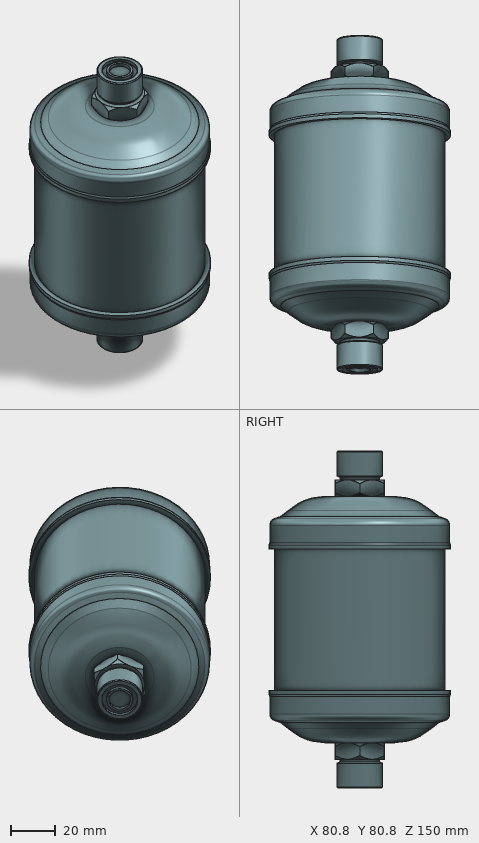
import cadquery as cq
import math

length = 150.0
half_length = length / 2

shell_radius = 38.1

rim_radius = 40.42
rim_bottom = 31.5
rim_height = 1.8
rim_bevel_height = 0.9
skirt_radius = 40.0
skirt_top = 42.0
shoulder_fillet = 3.2
shoulder_slope = math.radians(19)
dome_foot_radius = 35.2
dome_foot_height = 45.9
dome_top = 54.9
dome_flat_radius = 15.3
dome_arc_radius = 24.8
dome_slope = math.radians(42)

hex_flats = 22.0
hex_height = 7.4
hex_corner_radius = hex_flats / math.sqrt(3)
hex_top = dome_top + hex_height

spigot_radius = 10.2
spigot_bottom = 64.0
spigot_chamfer = 0.5
underside_height = 0.6
neck_radius = 8.8

groove_radius = 8.0
tube_radius = 5.8
bore_radius = 4.8
groove_depth = 1.6
bore_depth = 1.6


def revolve_outline(outline):
    """Turn a closed (radius, height) outline around the Z axis."""
    return outline.close().revolve(360, (0, 0, 0), (0, 1, 0))


def make_cap():
    """Upper end cap, solid from the rim up to the top of the dome."""
    rim_top = rim_bottom + rim_height
    skirt_bottom = rim_top + rim_bevel_height
    arc_centre_height = dome_top - dome_arc_radius

    def dome_point(angle):
        return (
            dome_flat_radius + dome_arc_radius * math.sin(angle),
            arc_centre_height + dome_arc_radius * math.cos(angle),
        )

    def fillet_point(angle):
        return (
            skirt_radius - shoulder_fillet + shoulder_fillet * math.sin(angle),
            skirt_top + shoulder_fillet * math.cos(angle),
        )

    fillet_middle = (shoulder_slope + math.pi / 2) / 2

    return revolve_outline(
        cq.Workplane("XZ")
        .moveTo(0, rim_bottom)
        .lineTo(rim_radius, rim_bottom)
        .lineTo(rim_radius, rim_top)
        .lineTo(skirt_radius, skirt_bottom)
        .lineTo(skirt_radius, skirt_top)
        .threePointArc(fillet_point(fillet_middle), fillet_point(shoulder_slope))
        .lineTo(dome_foot_radius, dome_foot_height)
        .lineTo(*dome_point(dome_slope))
        .threePointArc(dome_point(dome_slope / 2), (dome_flat_radius, dome_top))
        .lineTo(0, dome_top)
    )


def make_hexagon():
    """Hexagon with corners on the X axis, bevelled at 45 degrees at both ends."""
    bevel = hex_corner_radius - hex_flats / 2
    prism = (
        cq.Workplane("XY", origin=(0, 0, dome_top))
        .polygon(6, 2 * hex_corner_radius)
        .extrude(hex_height)
    )
    bevelled_disc = (
        cq.Workplane("XY", origin=(0, 0, dome_top))
        .circle(hex_corner_radius)
        .extrude(hex_height)
        .faces("<Z or >Z")
        .chamfer(bevel)
    )
    return prism.intersect(bevelled_disc)


def make_spigot():
    """Neck and cylindrical spigot with a ring groove and a bore in its end face."""
    groove_floor = half_length - groove_depth
    bore_floor = half_length - bore_depth
    return revolve_outline(
        cq.Workplane("XZ")
        .moveTo(0, hex_top)
        .lineTo(neck_radius, hex_top)
        .lineTo(neck_radius, spigot_bottom - underside_height)
        .lineTo(spigot_radius, spigot_bottom)
        .lineTo(spigot_radius, half_length - spigot_chamfer)
        .lineTo(spigot_radius - spigot_chamfer, half_length)
        .lineTo(groove_radius, half_length)
        .lineTo(groove_radius, groove_floor)
        .lineTo(tube_radius, groove_floor)
        .lineTo(tube_radius, half_length)
        .lineTo(bore_radius, half_length)
        .lineTo(bore_radius, bore_floor)
        .lineTo(0, bore_floor)
    )


upper_half = make_cap().union(make_hexagon()).union(make_spigot())
lower_half = upper_half.mirror("XY")
shell = (
    cq.Workplane("XY", origin=(0, 0, -rim_bottom))
    .circle(shell_radius)
    .extrude(2 * rim_bottom)
)
result = shell.union(upper_half).union(lower_half)